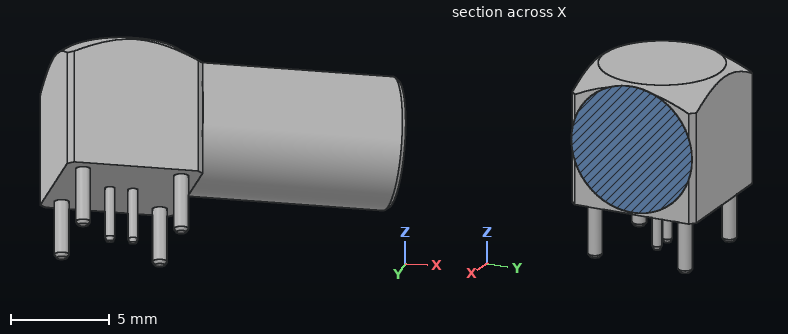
import cadquery as cq
import math

block_side = 7.0
corner_chamfer = 0.3
top_flat_diameter = 6.48
top_cone_slope = 35.0

total_length = 17.5
barrel_diameter = 6.8
barrel_chamfer_length = 0.21
barrel_chamfer_depth = 0.15

outer_pin_diameter = 0.75
outer_pin_length = 3.0
outer_pin_offset = 2.54
outer_tip_height = 0.18
outer_tip_inset = 0.12
inner_pin_diameter = 0.5
inner_pin_length = 2.84
inner_pin_offset = 0.6
inner_tip_height = 0.21
inner_tip_inset = 0.09

block_center_x = block_side / 2
block_bottom = outer_pin_length
block_top = block_bottom + block_side
barrel_axis_z = block_bottom + block_side / 2


def make_block():
    """Cube with chamfered upright edges and a conical top."""
    block = (
        cq.Workplane("XY", origin=(block_center_x, 0, block_bottom))
        .rect(block_side, block_side)
        .extrude(block_side)
        .edges("|Z")
        .chamfer(corner_chamfer)
    )
    top_radius = top_flat_diameter / 2
    envelope_radius = block_side
    cone_drop = (envelope_radius - top_radius) * math.tan(math.radians(top_cone_slope))
    envelope = (
        cq.Workplane("XZ", origin=(block_center_x, 0, 0))
        .moveTo(0, block_bottom)
        .lineTo(envelope_radius, block_bottom)
        .lineTo(envelope_radius, block_top - cone_drop)
        .lineTo(top_radius, block_top)
        .lineTo(0, block_top)
        .close()
        .revolve(360, (0, 0, 0), (0, 1, 0))
    )
    return block.intersect(envelope)


def make_barrel():
    """Horizontal cylinder with a chamfered free end, seated on the +X face of the block."""
    return (
        cq.Workplane("YZ", origin=(block_side, 0, barrel_axis_z))
        .circle(barrel_diameter / 2)
        .extrude(total_length - block_side)
        .faces(">X")
        .edges()
        .chamfer(barrel_chamfer_length, barrel_chamfer_depth)
    )


def make_pin(x, y, diameter, length, tip_height, tip_inset):
    """Pin hanging from the block with a tapered tip, rooted inside the block."""
    radius = diameter / 2
    root_depth = diameter
    return (
        cq.Workplane("XZ", origin=(x, y, block_bottom))
        .moveTo(0, root_depth)
        .lineTo(radius, root_depth)
        .lineTo(radius, tip_height - length)
        .lineTo(radius - tip_inset, -length)
        .lineTo(0, -length)
        .close()
        .revolve(360, (0, 0, 0), (0, 1, 0))
    )


result = make_block().union(make_barrel())

for side_x in (-1, 1):
    inner_x = block_center_x + side_x * inner_pin_offset
    result = result.union(
        make_pin(inner_x, 0, inner_pin_diameter, inner_pin_length, inner_tip_height, inner_tip_inset)
    )
    outer_x = block_center_x + side_x * outer_pin_offset
    for side_y in (-1, 1):
        outer_y = side_y * outer_pin_offset
        result = result.union(
            make_pin(outer_x, outer_y, outer_pin_diameter, outer_pin_length, outer_tip_height, outer_tip_inset)
        )